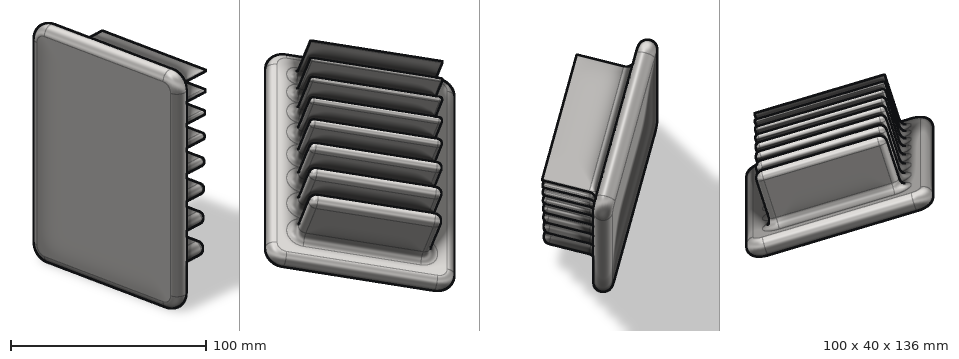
import cadquery as cq

plate_width = 100.0
plate_height = 136.0
plate_thickness = 10.0
plate_corner_radius = plate_thickness

overall_depth = 40.0
fin_count = 8
thickest_fin = 8.0
fin_margin = 15.0
root_fillet = 4.9

plate_back = plate_thickness
fin_width = plate_width - 2 * fin_margin
fin_step = thickest_fin / fin_count
fin_thicknesses = [fin_step * (fin_count - i) for i in range(fin_count)]
fin_stack_height = plate_height - 2 * fin_margin
fin_gap = (fin_stack_height - sum(fin_thicknesses)) / (fin_count - 1)


def make_plate():
    """Rounded rectangular plate whose rim is a full half-round."""
    rim_radius = plate_thickness / 2
    core_width = plate_width - plate_thickness
    core_height = plate_height - plate_thickness
    core = cq.Workplane("XY").box(core_width, plate_thickness, core_height)
    core = core.edges("|Y").fillet(plate_corner_radius - rim_radius)
    outline = core.faces("<Y").wires().translate((0, rim_radius, 0))
    half_round = (
        cq.Workplane("XY", origin=(core_width / 2, 0, 0))
        .moveTo(0, -rim_radius)
        .threePointArc((rim_radius, 0), (0, rim_radius))
        .close()
    )
    rim = half_round.sweep(outline)
    return core.union(rim).translate((0, rim_radius, 0))


def make_fin(thickness, bottom):
    """Fin with half-round sides and tip and ball corners, rooted inside the plate."""
    radius = thickness / 2
    root = plate_back / 2
    side = fin_width / 2 - radius
    tip = overall_depth - radius
    fin = cq.Workplane("XY").box(2 * side, tip - root, thickness, centered=(True, False, True))
    fin = fin.translate((0, root, 0))
    tip_round = cq.Workplane("YZ", origin=(-side, tip, 0)).circle(radius).extrude(2 * side)
    fin = fin.union(tip_round)
    for x in (-side, side):
        side_round = cq.Workplane("XZ", origin=(x, root, 0)).circle(radius).extrude(root - tip)
        corner_ball = cq.Workplane("XY", origin=(x, tip, 0)).sphere(radius)
        fin = fin.union(side_round).union(corner_ball)
    return fin.translate((0, 0, bottom + radius))


result = make_plate()
fin_bottom = -fin_stack_height / 2
for fin_thickness in fin_thicknesses:
    result = result.union(make_fin(fin_thickness, fin_bottom))
    fin_bottom += fin_thickness + fin_gap

back_face = next(face for face in result.faces("|Y").vals() if face.innerWires())
root_edges = [edge for outline in back_face.innerWires() for edge in outline.Edges()]
result = result.newObject(root_edges).fillet(root_fillet)